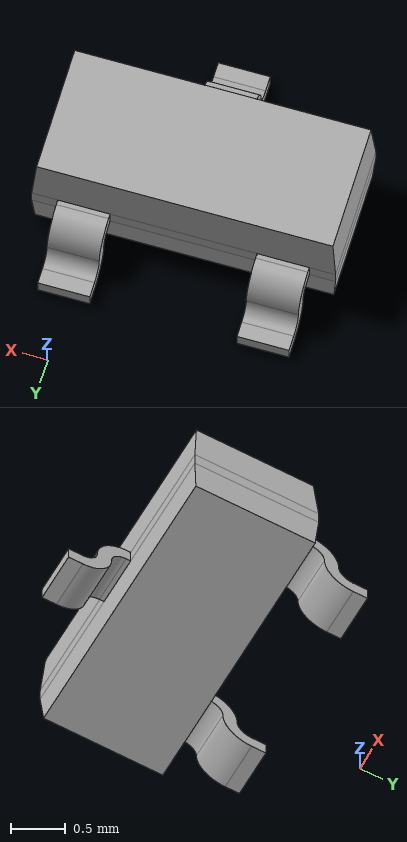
import cadquery as cq
import math

body_length = 2.9
body_width = 1.3
total_width = 2.6
total_height = 1.12
standoff = 0.105
draft_angle = 4.0

lead_thickness = 0.15
lead_width = 0.5
lead_pitch = 1.9
inner_radius = 0.15
foot_length = 0.15
lead_embed = 0.058

outer_radius = inner_radius + lead_thickness
bend_height = inner_radius + outer_radius
band_bottom = bend_height
band_top = band_bottom + lead_thickness


def body_layer(base_z, height, taper):
    """Body layer grown from the parting band; a negative height grows down."""
    return (
        cq.Workplane("XY", origin=(0, 0, base_z))
        .rect(body_length, body_width)
        .extrude(height, taper=taper)
    )


def make_body():
    band = body_layer(band_bottom, lead_thickness, 0)
    upper = body_layer(band_top, total_height - band_top, draft_angle)
    lower = body_layer(band_bottom, standoff - band_bottom, draft_angle)
    return band.union(upper).union(lower)


def make_lead(center_x):
    """S-shaped lead leaving the body on the +Y side, with its foot at Z = 0."""
    tip_y = total_width / 2
    foot_y = tip_y - foot_length
    shoulder_y = foot_y - bend_height
    diagonal = math.sqrt(0.5)
    upper_center = (shoulder_y, band_bottom - inner_radius)
    lower_center = (foot_y, outer_radius)

    def upper_mid(radius):
        return (upper_center[0] + radius * diagonal, upper_center[1] + radius * diagonal)

    def lower_mid(radius):
        return (lower_center[0] - radius * diagonal, lower_center[1] - radius * diagonal)

    root_y = body_width / 2 - lead_embed
    return (
        cq.Workplane("YZ", origin=(center_x - lead_width / 2, 0, 0))
        .moveTo(root_y, band_top)
        .lineTo(shoulder_y, band_top)
        .threePointArc(upper_mid(outer_radius), (shoulder_y + outer_radius, outer_radius))
        .threePointArc(lower_mid(inner_radius), (foot_y, lead_thickness))
        .lineTo(tip_y, lead_thickness)
        .lineTo(tip_y, 0)
        .lineTo(foot_y, 0)
        .threePointArc(lower_mid(outer_radius), (foot_y - outer_radius, outer_radius))
        .threePointArc(upper_mid(inner_radius), (shoulder_y, band_bottom))
        .lineTo(root_y, band_bottom)
        .close()
        .extrude(lead_width)
    )


result = make_body()
for lead_x in (-lead_pitch / 2, lead_pitch / 2):
    result = result.union(make_lead(lead_x))

result = result.union(make_lead(0).mirror("XZ"))